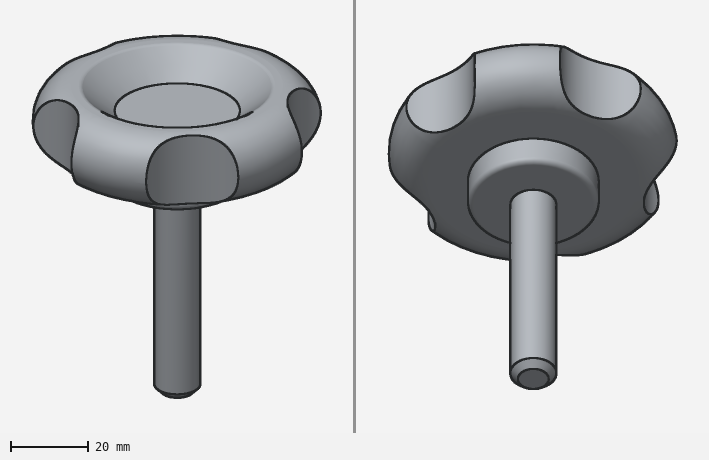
import cadquery as cq

KNOB_DIAMETER = 75.0
RIM_HEIGHT = 20.0
HUB_DIAMETER = 34.0
HUB_HEIGHT = 8.0
HUB_EDGE_RADIUS = 1.5

STUD_DIAMETER = 12.0
STUD_LENGTH = 60.0
STUD_CHAMFER = 2.0

GRIP_COUNT = 5
GRIP_RADIUS = 15.0
GRIP_ROOT_RADIUS = 29.5
FIRST_GRIP_ANGLE = -90.0

BOWL_MOUTH_DIAMETER = 49.9
BOWL_EDGE_RADIUS = 1.5
BOWL_FLOOR_DIAMETER = 32.5
BOWL_DEPTH = 7.2
FLOOR_BEVEL_WIDTH = 0.1
FLOOR_BEVEL_HEIGHT = 0.1

knob_radius = KNOB_DIAMETER / 2
rim_radius = RIM_HEIGHT / 2
rim_bottom = HUB_HEIGHT
rim_top = rim_bottom + RIM_HEIGHT


def make_rim():
    """Disc with a full half-round outer edge."""
    flat_radius = knob_radius - rim_radius
    profile = (
        cq.Workplane("XZ")
        .moveTo(0, rim_bottom)
        .lineTo(flat_radius, rim_bottom)
        .threePointArc((knob_radius, rim_bottom + rim_radius), (flat_radius, rim_top))
        .lineTo(0, rim_top)
        .close()
    )
    return profile.revolve(360, (0, 0, 0), (0, 1, 0))


def make_hub():
    """Round hub under the rim, with a rounded lower edge."""
    hub = cq.Workplane("XY").circle(HUB_DIAMETER / 2).extrude(HUB_HEIGHT)
    return hub.faces("<Z").edges().fillet(HUB_EDGE_RADIUS)


def make_stud():
    """Plain stud below the hub, with a chamfered tip."""
    stud = cq.Workplane("XY").circle(STUD_DIAMETER / 2).extrude(-STUD_LENGTH)
    return stud.faces("<Z").edges().chamfer(STUD_CHAMFER)


def make_grips():
    """Cylindrical cutters for the finger grips around the rim."""
    return (
        cq.Workplane("XY")
        .workplane(offset=rim_bottom)
        .polarArray(GRIP_ROOT_RADIUS + GRIP_RADIUS, FIRST_GRIP_ANGLE, 360, GRIP_COUNT)
        .circle(GRIP_RADIUS)
        .extrude(RIM_HEIGHT)
    )


def make_bowl():
    """Cutter for the dished recess: flat floor, fine bevel, conical wall."""
    mouth_radius = BOWL_MOUTH_DIAMETER / 2
    floor_radius = BOWL_FLOOR_DIAMETER / 2
    wall_foot_radius = floor_radius + FLOOR_BEVEL_WIDTH
    floor_height = rim_top - BOWL_DEPTH
    wall_foot_height = floor_height + FLOOR_BEVEL_HEIGHT
    profile = (
        cq.Workplane("XZ")
        .moveTo(0, floor_height)
        .lineTo(floor_radius, floor_height)
        .lineTo(wall_foot_radius, wall_foot_height)
        .lineTo(mouth_radius, rim_top)
        .lineTo(0, rim_top)
        .close()
    )
    return profile.revolve(360, (0, 0, 0), (0, 1, 0))


def make_dished_rim():
    """Rim with the bowl cut in its top and the bowl's mouth rounded over."""
    rim = make_rim().cut(make_bowl())
    mouth = cq.selectors.RadiusNthSelector(0)
    return rim.faces(">Z").edges(mouth).fillet(BOWL_EDGE_RADIUS)


result = make_dished_rim().cut(make_grips()).union(make_hub()).union(make_stud())